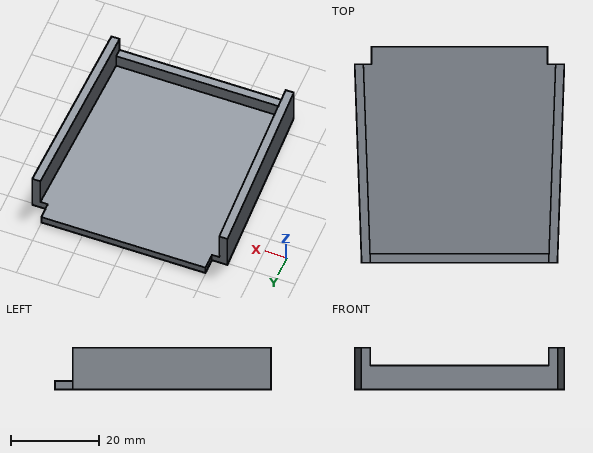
import cadquery as cq
import math

body_length = 45.0
mid_width = 46.0
side_taper = 2.0
body_height = 9.5

floor_thickness = 2.0
wall_thickness = 2.0
lip_thickness = 2.0
lip_height = 5.5

tongue_width = 40.0
tongue_length = 4.0

front_y = -body_length / 2
back_y = body_length / 2


def half_width(y):
    """Half of the outer body width at a given Y."""
    return mid_width / 2 + y * math.tan(math.radians(side_taper))


def tapered_block(start_y, side_inset, bottom_z, top_z):
    """Block from start_y to the back, with sides set in from the outer walls."""
    half_start = half_width(start_y) - side_inset
    half_back = half_width(back_y) - side_inset
    outline = [
        (-half_start, start_y),
        (half_start, start_y),
        (half_back, back_y),
        (-half_back, back_y),
    ]
    base = cq.Workplane("XY").workplane(offset=bottom_z)
    return base.polyline(outline).close().extrude(top_z - bottom_z)


def make_tongue():
    """Flat tongue, level with the floor, behind the body."""
    return (
        cq.Workplane("XY")
        .box(tongue_width, tongue_length, floor_thickness, centered=(True, False, False))
        .translate((0, back_y, 0))
    )


body = tapered_block(front_y, 0, 0, body_height)
tray_recess = tapered_block(front_y + lip_thickness, wall_thickness, floor_thickness, body_height)
lip_opening = tapered_block(front_y, wall_thickness, lip_height, body_height)

result = body.cut(tray_recess).cut(lip_opening).union(make_tongue())